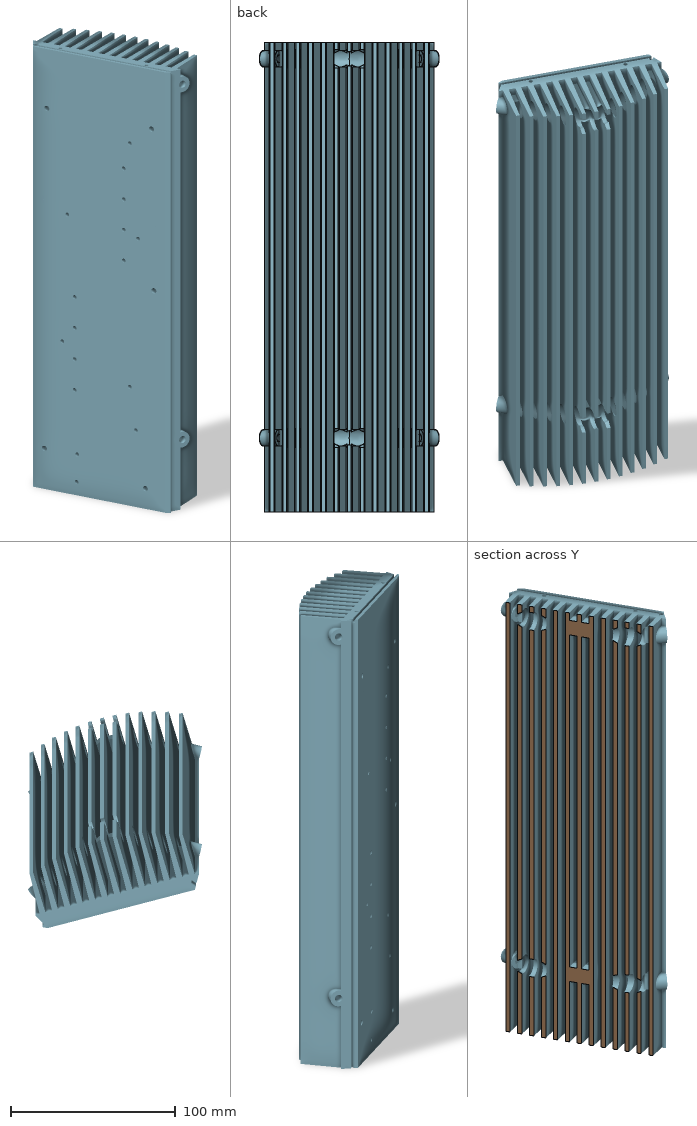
import cadquery as cq
import math

LENGTH = 285.0
DEPTH = 45.3

BASE_TOP = 9.5
SIDE_TILT = 30.0
SLOT_LOW = 2.0
SLOT_HIGH = 3.7
FRONT_HALF_WIDTH = 46.2
LEFT_LIP = 47.3
RIGHT_LIP = 49.0
RIGHT_LIP_CORNER = 1.0
RIGHT_NECK = 48.2
SIDE_NOTCH_DEPTH = 2.3
SIDE_NOTCH_RISE = 2.5
END_SLOT_DEPTH = 1.7

FIN_COUNT = 13
FIN_ROW_SPAN = 93.8
FIN_ROOT_WIDTH = 3.7
FIN_TIP_WIDTH = 2.3
FIN_EMBED = 1.7
FIN_CROWN_RADIUS = 119.7

LUG_HEIGHTS = (45.0, 275.0)
LUG_DIAMETER = 10.0
LUG_LENGTH = 10.8
LUG_CENTER_Y = 10.5
LUG_HOLE_DIAMETER = 4.5
ACCESS_DIAMETER = 11.5
ACCESS_OVERRUN = 10.3
BRIDGE_TOP = 34.8

HOLE_DEPTH = 7.0
SMALL_HOLE_DIAMETER = 2.5
LARGE_HOLE_DIAMETER = 3.5
SMALL_HOLES = [
    (21.5, 234.5), (17.0, 217.5), (17.0, 197.5), (-22.2, 180.5), (17.0, 177.8), (27.0, 173.8), (17.0, 158.0),
    (-17.0, 128.0), (-17.0, 108.0), (-25.6, 97.8), (-17.0, 87.8), (21.5, 77.0), (-17.0, 67.8),
    (25.6, 49.5), (-15.5, 26.5), (-15.7, 8.5),
]
LARGE_HOLES = [(-36.5, 246.5), (36.5, 246.5), (38.2, 142.2), (-38.2, 26.2), (32.2, 13.0)]
END_HOLE_X = 30.0
END_HOLE_Y = 5.5
END_HOLE_DIAMETER = 2.5

fin_pitch = FIN_ROW_SPAN / (FIN_COUNT - 1)

OVERALL_WIDTH = 109.2
tilt = math.radians(SIDE_TILT)
lug_rim_y = LUG_CENTER_Y + LUG_DIAMETER / 2 * math.cos(tilt)


def side_x(y):
    """Distance of the tilted side face from the middle plane at height y."""
    return OVERALL_WIDTH / 2 - (lug_rim_y - y) * math.tan(tilt)


def base_plate():
    return (
        cq.Workplane("XY")
        .moveTo(-FRONT_HALF_WIDTH, 0)
        .lineTo(FRONT_HALF_WIDTH, 0)
        .lineTo(RIGHT_LIP, RIGHT_LIP_CORNER)
        .lineTo(RIGHT_LIP, SLOT_LOW)
        .lineTo(RIGHT_NECK, SLOT_LOW)
        .lineTo(RIGHT_NECK, SLOT_HIGH)
        .lineTo(side_x(SLOT_HIGH), SLOT_HIGH)
        .lineTo(side_x(BASE_TOP), BASE_TOP)
        .lineTo(-side_x(BASE_TOP), BASE_TOP)
        .lineTo(-side_x(SLOT_HIGH), SLOT_HIGH)
        .lineTo(-side_x(SLOT_HIGH) + SIDE_NOTCH_DEPTH, SLOT_HIGH + SIDE_NOTCH_RISE)
        .lineTo(-LEFT_LIP + SIDE_NOTCH_DEPTH, SLOT_LOW + SIDE_NOTCH_RISE)
        .lineTo(-LEFT_LIP, SLOT_LOW)
        .close()
        .extrude(LENGTH)
    )


def fin(x):
    top = DEPTH - FIN_CROWN_RADIUS + math.sqrt(FIN_CROWN_RADIUS**2 - x**2)
    root = FIN_ROOT_WIDTH / 2
    tip = FIN_TIP_WIDTH / 2
    bottom = BASE_TOP - FIN_EMBED
    outline = [
        (x - root, bottom), (x + root, bottom), (x + root, BASE_TOP),
        (x + tip, top), (x - tip, top), (x - root, BASE_TOP),
    ]
    return cq.Workplane("XY").polyline(outline).close().extrude(LENGTH)


def lug_axis(side, z):
    """Start point and inward direction of a lug axis; side is -1 or +1."""
    start = cq.Vector(side * side_x(LUG_CENTER_Y), LUG_CENTER_Y, z)
    direction = cq.Vector(-side * math.cos(tilt), math.sin(tilt), 0)
    return start, direction


def rod(diameter, length, start, direction):
    return cq.Workplane(cq.Solid.makeCylinder(diameter / 2, length, start, direction))


def lug(side, z):
    start, direction = lug_axis(side, z)
    end = start + direction * LUG_LENGTH
    inner_rim_x = end.x - side * LUG_DIAMETER / 2 * math.sin(tilt)
    foot = [
        (start.x, start.y), (end.x, end.y), (inner_rim_x, end.y),
        (inner_rim_x, BASE_TOP), (side * side_x(BASE_TOP), BASE_TOP),
    ]
    web = (
        cq.Workplane("XY", origin=(0, 0, z - LUG_DIAMETER / 2))
        .polyline(foot).close()
        .extrude(LUG_DIAMETER)
    )
    return rod(LUG_DIAMETER, LUG_LENGTH, start, direction).union(web)


def lug_hole(side, z):
    start, direction = lug_axis(side, z)
    return rod(LUG_HOLE_DIAMETER, LUG_LENGTH, start, direction)


def access_bore(side, z):
    """Bore through the fins from the inner end of a lug, along its axis, past the middle fins."""
    start, direction = lug_axis(side, z)
    end = start + direction * LUG_LENGTH
    length = (abs(end.x) + ACCESS_OVERRUN) / math.cos(tilt)
    return rod(ACCESS_DIAMETER, length, end, direction)


def bridge(z):
    return (
        cq.Workplane("XY")
        .box(2 * fin_pitch, BRIDGE_TOP - BASE_TOP, LUG_DIAMETER, centered=(True, False, True))
        .translate((0, BASE_TOP, z))
    )


def front_holes(points, diameter):
    along_y = cq.Workplane("XZ")
    return along_y.pushPoints(points).circle(diameter / 2).extrude(-HOLE_DEPTH)


result = base_plate()
for index in range(FIN_COUNT):
    result = result.union(fin(index * fin_pitch - FIN_ROW_SPAN / 2))

for z in LUG_HEIGHTS:
    result = result.union(bridge(z))
    for side in (-1, 1):
        result = result.cut(access_bore(side, z))

for z in LUG_HEIGHTS:
    for side in (-1, 1):
        result = result.union(lug(side, z)).cut(lug_hole(side, z))

result = result.cut(front_holes(SMALL_HOLES, SMALL_HOLE_DIAMETER))
result = result.cut(front_holes(LARGE_HOLES, LARGE_HOLE_DIAMETER))

end_slot = (
    cq.Workplane("XY", origin=(0, 0, LENGTH - END_SLOT_DEPTH))
    .box(OVERALL_WIDTH, SLOT_HIGH - SLOT_LOW, END_SLOT_DEPTH, centered=(True, False, False))
    .translate((0, SLOT_LOW, 0))
)
end_holes = (
    cq.Workplane("XY", origin=(0, 0, LENGTH - HOLE_DEPTH))
    .pushPoints([(-END_HOLE_X, END_HOLE_Y), (END_HOLE_X, END_HOLE_Y)])
    .circle(END_HOLE_DIAMETER / 2)
    .extrude(HOLE_DEPTH)
)
result = result.cut(end_slot).cut(end_holes)